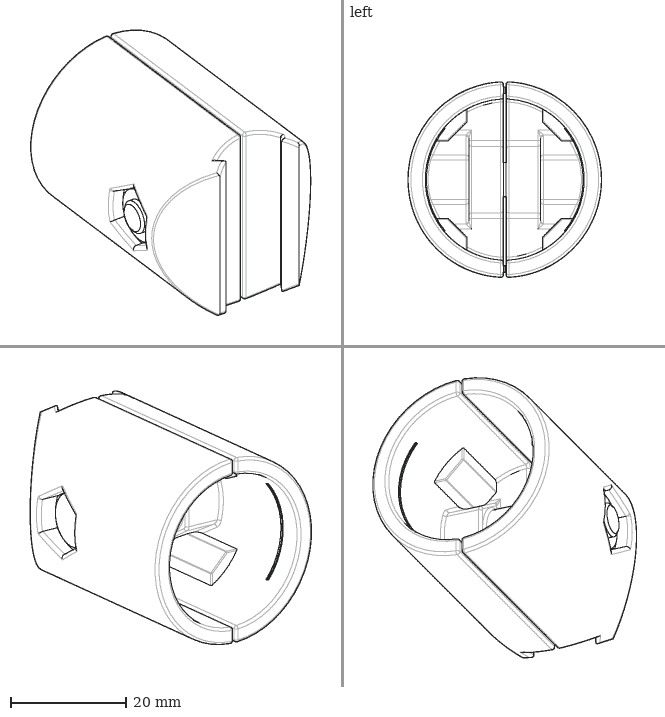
import cadquery as cq
import math

LENGTH = 45.55
OUTER_RADIUS = 17.0
BORE_RADIUS = 14.0
HALF_SHIFT = 0.2
GAP_HALF = 0.25
EDGE_FILLET = 0.5

BOLT_X = 29.52
BOLT_RADIUS = 3.0
BOLT_LENGTH = 25.0
BOLT_CHAMFER = 0.5
HEX_FLATS = 10.02
NUT_HEIGHT = 5.0
HEAD_HEIGHT = 4.0
FACE_CIRCLE_RADIUS = 4.87
FACE_CHAMFER_ANGLE = 30.0
SEAT_Y = 9.3
POCKET_CLEARANCE = 0.1
POCKET_FILLET = 0.6

BOLT_BOSS_RADIUS = 5.85
HEX_BOSS_WALL = 1.8
HEX_BOSS_Y = 6.25
BOSS_FILLET = 1.0

LUG_START = 15.7
LUG_MIN_Y = 6.5
LUG_MIN_Z = 6.7
LUG_FACE = 11.85
LUG_FILLET = 0.2

RIDGE_X = 4.55
RIDGE_WIDTH = 0.4
RIDGE_HEIGHT = 0.2
RIDGE_HALF_SPAN = 8.85

TIP_Y = 8.4
SEAT_RADIUS = 12.75
RELIEF_RADIUS = 14.65
LIP_ANGLE = 27.5

TONGUE_END = 35.95
TONGUE_THICKNESS = 1.2
TONGUE_HEIGHT = 0.3

SEAT_X = LENGTH + math.sqrt(SEAT_RADIUS**2 - TIP_Y**2)
POCKET_FLATS = HEX_FLATS + 2 * POCKET_CLEARANCE
HEX_BOSS_FLATS = POCKET_FLATS + 2 * HEX_BOSS_WALL
HEX_BOSS_CORNER = HEX_BOSS_FLATS / math.sqrt(3)
WALL_MIDDLE = (OUTER_RADIUS + BORE_RADIUS) / 2
TONGUE_START = (OUTER_RADIUS - BORE_RADIUS) / 2
REACH = 2 * LENGTH
TOLERANCE = 0.025


def cylinder_x(radius, start, end):
    """Cylinder on the axis of a half tube, between two X positions."""
    return cq.Workplane("YZ", origin=(start, -HALF_SHIFT, 0)).circle(radius).extrude(end - start)


def cylinder_y(radius, start, end):
    """Cylinder on the bolt axis, between two Y positions."""
    return cq.Workplane("XZ", origin=(BOLT_X, end, 0)).circle(radius).extrude(end - start)


def hexagon_y(flats, start, end):
    """Hexagon on the bolt axis with two corners on Z, between two Y positions."""
    corner_diameter = 2 * flats / math.sqrt(3)
    return (
        cq.Workplane("XZ", origin=(BOLT_X, end, 0))
        .transformed(rotate=(0, 0, 90))
        .polygon(6, corner_diameter)
        .extrude(end - start)
    )


def keep_positive_y(shape):
    block = cq.Workplane("XY").box(REACH, REACH, REACH, centered=(True, False, True))
    return shape.intersect(block.translate((0, GAP_HALF, 0)))


def fillet_where(shape, radius, test):
    """Fillet the edges whose middle point passes the test."""
    edges = [edge for edge in shape.edges().vals() if test(edge.positionAt(0.5))]
    return shape.newObject(edges).fillet(radius)


def is_close(a, b):
    return abs(a - b) < TOLERANCE


def bore_space():
    """Empty space inside one half: the bore less the bosses and lugs, with their fillets."""
    bolt_boss = cylinder_y(BOLT_BOSS_RADIUS, 0, OUTER_RADIUS)
    hex_boss = hexagon_y(HEX_BOSS_FLATS, HEX_BOSS_Y, OUTER_RADIUS)
    space = keep_positive_y(cylinder_x(BORE_RADIUS, 0, BOLT_X).cut(bolt_boss).cut(hex_boss))

    def along_boss(p):
        hex_front = is_close(abs(p.z), HEX_BOSS_CORNER / 2) and HEX_BOSS_Y < p.y - TOLERANCE
        hex_root = is_close(abs(p.z), HEX_BOSS_CORNER)
        bolt_root = is_close(abs(p.z), BOLT_BOSS_RADIUS)
        return hex_front or (is_close(p.x, BOLT_X) and (hex_root or bolt_root))

    def on_hex_rim(p):
        from_axis = math.hypot(p.x - BOLT_X, p.z)
        return is_close(p.y, HEX_BOSS_Y) and from_axis > BOLT_BOSS_RADIUS + 0.45 and p.x < BOLT_X - BOSS_FILLET

    def on_hex_end_root(p):
        return is_close(p.y, HEX_BOSS_Y) and is_close(math.hypot(p.x - BOLT_X, p.z), BOLT_BOSS_RADIUS)

    def on_bore_end(p):
        return is_close(p.x, BOLT_X) and is_close(math.hypot(p.y + HALF_SHIFT, p.z), BORE_RADIUS)

    space = fillet_where(space, BOSS_FILLET, along_boss)
    space = fillet_where(space, EDGE_FILLET, on_hex_end_root)
    space = fillet_where(space, EDGE_FILLET, on_hex_rim)
    space = fillet_where(space, EDGE_FILLET, on_bore_end)
    for side in (1, -1):
        space = space.cut(lug(side))
    return space


def lug(side):
    """Stop lug at 45 degrees on the bore wall; side is the sign of its Z."""
    slant = LUG_FACE * math.sqrt(2) - HALF_SHIFT
    outline = [
        (LUG_MIN_Y, slant - LUG_MIN_Y),
        (slant - LUG_MIN_Z, LUG_MIN_Z),
        (OUTER_RADIUS, LUG_MIN_Z),
        (OUTER_RADIUS, OUTER_RADIUS),
        (LUG_MIN_Y, OUTER_RADIUS),
    ]
    block = cq.Workplane("YZ", origin=(LUG_START, 0, 0)).polyline(outline).close().extrude(BOLT_X - LUG_START)
    block = block.edges("<X or (|X and (<Y or <Z))").fillet(LUG_FILLET)
    block = block.intersect(cylinder_x(WALL_MIDDLE, LUG_START, BOLT_X))
    return block if side > 0 else block.mirror("XY")


def far_end_cutter():
    """Material removed beyond the 45 degree face, the lips and the relief."""
    def column():
        return cq.Workplane("XY", origin=(SEAT_X, 0, -LENGTH / 2))

    flank = REACH * math.tan(math.radians(LIP_ANGLE))
    wedge = column().polyline([(0, 0), (-REACH, flank), (-REACH, -flank)]).close().extrude(LENGTH)
    relief = column().circle(RELIEF_RADIUS).extrude(LENGTH).intersect(wedge)
    seat = column().circle(SEAT_RADIUS).extrude(LENGTH)
    beyond = (
        cq.Workplane("XY", origin=(LENGTH, TIP_Y, -LENGTH / 2))
        .polyline([(0, 0), (-REACH, REACH), (REACH, REACH), (REACH, -REACH), (0, -REACH)])
        .close()
        .extrude(LENGTH)
    )
    return seat.union(relief).union(beyond)


def snap_ridge():
    """Low ridge across the bore wall, limited in height along Z."""
    end = RIDGE_X + RIDGE_WIDTH
    ring = cylinder_x(BORE_RADIUS + RIDGE_HEIGHT, RIDGE_X, end)
    ring = ring.cut(cylinder_x(BORE_RADIUS - RIDGE_HEIGHT, RIDGE_X, end))
    span = cq.Workplane("XY").box(REACH, REACH, 2 * RIDGE_HALF_SPAN, centered=(True, False, True))
    return ring.intersect(span)


def build_half():
    """Half shell on the +Y side."""
    def on_far_end_rim(p):
        from_axis = math.hypot(p.y + HALF_SHIFT, p.z)
        beyond_bosses = p.x > BOLT_X + BOLT_BOSS_RADIUS
        return beyond_bosses and is_close(from_axis, OUTER_RADIUS) and p.y > GAP_HALF + TOLERANCE

    def on_pocket_rim(p):
        from_axis = math.hypot(p.y + HALF_SHIFT, p.z)
        return abs(p.x - BOLT_X) < POCKET_FLATS and is_close(from_axis, OUTER_RADIUS) and abs(p.z) < POCKET_FLATS / 2

    half = keep_positive_y(cylinder_x(OUTER_RADIUS, 0, LENGTH))
    half = half.cut(far_end_cutter()).cut(bore_space())
    half = fillet_where(half, EDGE_FILLET, on_far_end_rim)
    half = half.faces("<X or <Y").edges().fillet(EDGE_FILLET)
    pocket = hexagon_y(POCKET_FLATS, SEAT_Y, OUTER_RADIUS + 0.45)
    half = half.cut(pocket)
    half = fillet_where(half, POCKET_FILLET, on_pocket_rim)
    half = half.cut(cylinder_y(BOLT_RADIUS, 0, OUTER_RADIUS))
    return half.union(snap_ridge())


def tongue():
    """Strips in the middle of both tube walls that close most of the gap."""
    ring = cylinder_x(WALL_MIDDLE + TONGUE_THICKNESS / 2, TONGUE_START, TONGUE_END)
    ring = ring.cut(cylinder_x(WALL_MIDDLE - TONGUE_THICKNESS / 2, TONGUE_START, TONGUE_END))
    band = cq.Workplane("XY").box(REACH, TONGUE_HEIGHT, REACH, centered=(True, False, True))
    return ring.intersect(band.translate((0, GAP_HALF - TONGUE_HEIGHT, 0)))


def hex_blank(start, end, outer_y):
    """Hexagon whose corners are turned to a cone on the face at outer_y."""
    corner_radius = HEX_FLATS / math.sqrt(3)
    drop = (corner_radius - FACE_CIRCLE_RADIUS) * math.tan(math.radians(FACE_CHAMFER_ANGLE))
    turned = cylinder_y(corner_radius, start, end)
    face = "<Y" if outer_y == start else ">Y"
    turned = turned.faces(face).chamfer(drop, corner_radius - FACE_CIRCLE_RADIUS)
    return hexagon_y(HEX_FLATS, start, end).intersect(turned)


def build_nut():
    outer_face = -SEAT_Y - NUT_HEIGHT
    blank = hex_blank(outer_face, -SEAT_Y, outer_face)
    return blank.cut(cylinder_y(BOLT_RADIUS, outer_face, -SEAT_Y))


def build_bolt():
    head = hex_blank(SEAT_Y, SEAT_Y + HEAD_HEIGHT, SEAT_Y + HEAD_HEIGHT)
    shank = cylinder_y(BOLT_RADIUS, SEAT_Y - BOLT_LENGTH, SEAT_Y).faces("<Y").chamfer(BOLT_CHAMFER)
    return head.union(shank)


plain_half = build_half()
tongued_half = plain_half.union(tongue())
opposite_half = plain_half.mirror("XZ")
nut = build_nut()
bolt = build_bolt()
result = cq.Compound.makeCompound([tongued_half.val(), opposite_half.val(), nut.val(), bolt.val()])